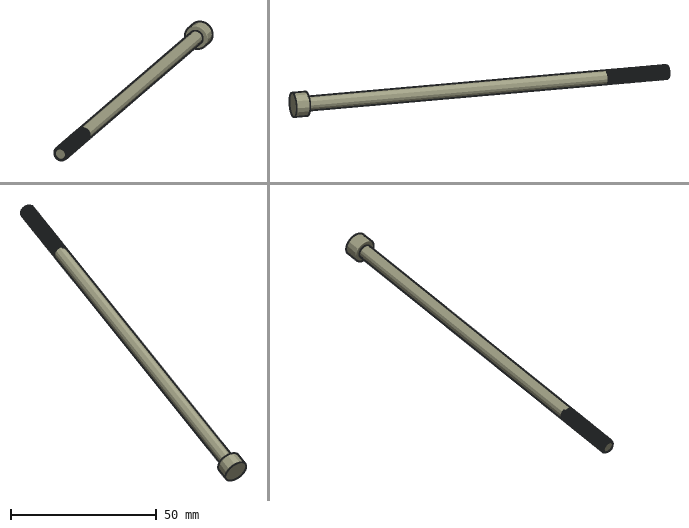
import cadquery as cq
import math

head_diameter = 8.5
head_height = 5.0
seat_edge_radius = 0.3

shank_diameter = 5.0
shank_length = 130.0

thread_length = 22.0
thread_pitch = 0.8
thread_half_angle = math.radians(30)
sharp_v_height = thread_pitch / (2 * math.tan(thread_half_angle))
thread_depth = sharp_v_height * 5 / 8
groove_turn = 65.0
tip_chamfer = 0.5

shank_radius = shank_diameter / 2
root_radius = shank_radius - thread_depth

crest_flat = thread_pitch / 8
crest_half_width = (thread_pitch - crest_flat) / 2
root_half_width = crest_half_width - thread_depth * math.tan(thread_half_angle)

cutter_overshoot = 0.05
cutter_radius = shank_radius + cutter_overshoot
cutter_half_width = crest_half_width + cutter_overshoot * math.tan(thread_half_angle)

cut_tolerance = 1e-4

overall_length = head_height + shank_length


def make_head():
    """Plain cylindrical head standing on Z = shank_length."""
    seat = cq.Workplane("XY", origin=(0, 0, shank_length))
    head = seat.circle(head_diameter / 2).extrude(head_height)
    return head.faces("<Z").edges().fillet(seat_edge_radius)


def make_shank():
    """Shank from its chamfered tip at Z = 0 up to the head."""
    shank = cq.Workplane("XY").circle(shank_radius).extrude(shank_length)
    return shank.faces("<Z").edges().chamfer(tip_chamfer)


def make_thread_cutter():
    """Right-hand helical groove, starting one pitch below the tip."""
    start_z = -thread_pitch
    helix_height = thread_length - start_z
    helix = cq.Wire.makeHelix(thread_pitch, helix_height, root_radius, center=cq.Vector(0, 0, start_z))
    section = (
        cq.Workplane("XZ")
        .moveTo(root_radius, start_z - root_half_width)
        .lineTo(root_radius, start_z + root_half_width)
        .lineTo(cutter_radius, start_z + cutter_half_width)
        .lineTo(cutter_radius, start_z - cutter_half_width)
        .close()
    )
    groove = section.sweep(cq.Workplane(helix), isFrenet=True)
    return groove.rotate((0, 0, 0), (0, 0, 1), groove_turn)


threaded_shank = make_shank().cut(make_thread_cutter(), tol=cut_tolerance)
upright_screw = threaded_shank.union(make_head())
laid_screw = upright_screw.rotate((0, 0, 0), (1, 0, 0), -90)
result = laid_screw.translate((0, -overall_length / 2, 0)).solids()